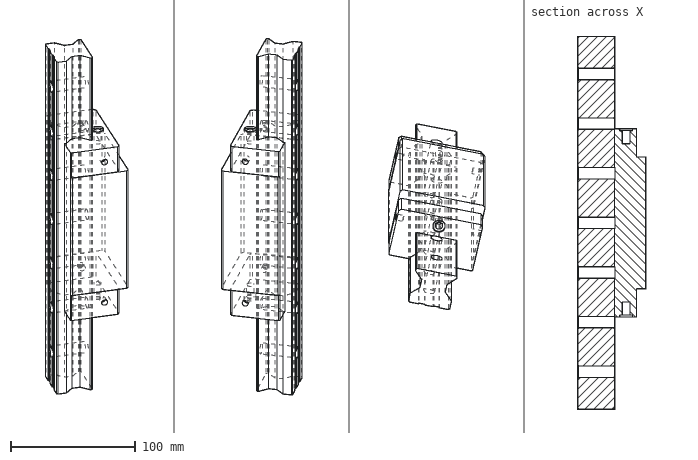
import cadquery as cq

rail_length = 300.0
rail_width = 34.0
rail_height = 30.0
rail_chamfer = 1.0
waist_width = 20.7
shoulder_height = 7.8
waist_length = 7.0
flank_width = (rail_width - waist_width) / 2
waist_bottom = shoulder_height + flank_width
waist_top = waist_bottom + waist_length
head_edge_height = waist_top + flank_width

groove_outer_x = 8.5
groove_inner_x = 4.0
land_edge_x = 3.3
groove_depth = 0.5

bolt_hole_diameter = 9.0
bolt_hole_pitch = 40.0
bolt_hole_count = 7

carriage_bottom = 6.3
block_width = 70.0
block_top = 55.0
block_length = 106.2
block_bottom_chamfer = 1.2
cap_width = 69.0
cap_top = block_top - 7.5
cap_bottom_chamfer = 1.0
carriage_length = 151.5
top_chamfer = 1.8

port_height = 39.0
port_mouth_diameter = 10.0
port_mouth_depth = 1.5
port_bore_diameter = 6.0
port_bore_depth = 12.0

side_hole_diameter = 4.8
side_hole_depth = 6.0
side_hole_height = 34.8
side_hole_from_end = 12.3


def rail_prism(right_half_underside):
    """Extrude the rail profile; the underside runs outwards from the centre on the +X side."""
    half = rail_width / 2
    right_half = right_half_underside + [
        (half - rail_chamfer, 0),
        (half, rail_chamfer),
        (half, shoulder_height),
        (waist_width / 2, waist_bottom),
        (waist_width / 2, waist_top),
        (half, head_edge_height),
        (half, rail_height - rail_chamfer),
        (half - rail_chamfer, rail_height),
    ]
    left_half = [(-x, y) for x, y in reversed(right_half)]
    outline = cq.Workplane("XY").polyline(right_half + left_half).close()
    return outline.extrude(rail_length / 2, both=True)


def bolt_holes():
    return (
        cq.Workplane("XZ")
        .rarray(3, bolt_hole_pitch, 1, bolt_hole_count)
        .circle(bolt_hole_diameter / 2)
        .extrude(-rail_height)
    )


def make_rail():
    grooved_underside = [
        (land_edge_x, 0),
        (groove_inner_x, groove_depth),
        (groove_outer_x, groove_depth),
        (groove_outer_x, 0),
    ]
    return rail_prism(grooved_underside).cut(bolt_holes())


def chamfered_bar(width, top, length, bottom_chamfer):
    """A bar along Z, from the carriage bottom up to the given top, with its long edges chamfered."""
    height = top - carriage_bottom
    return (
        cq.Workplane("XY")
        .center(0, carriage_bottom + height / 2)
        .rect(width, height)
        .extrude(length / 2, both=True)
        .edges("|Z and >Y")
        .chamfer(top_chamfer)
        .edges("|Z and <Y")
        .chamfer(bottom_chamfer)
    )


def lubrication_port(end):
    """The port cutter for the +Z end face (end = 1) or the -Z end face (end = -1)."""
    face = cq.Workplane("XY", origin=(0, port_height, end * carriage_length / 2))
    mouth = face.circle(port_mouth_diameter / 2).extrude(-end * port_mouth_depth)
    bore = face.circle(port_bore_diameter / 2).extrude(-end * port_bore_depth)
    return mouth.union(bore)


def side_holes(side):
    """The hole cutters for both caps on the +X side (side = 1) or the -X side (side = -1)."""
    hole_spacing = carriage_length - 2 * side_hole_from_end
    return (
        cq.Workplane("YZ", origin=(side * cap_width / 2, side_hole_height, 0))
        .rarray(3, hole_spacing, 1, 2)
        .circle(side_hole_diameter / 2)
        .extrude(-side * side_hole_depth)
    )


def make_carriage():
    block = chamfered_bar(block_width, block_top, block_length, block_bottom_chamfer)
    caps = chamfered_bar(cap_width, cap_top, carriage_length, cap_bottom_chamfer)
    rail_channel = rail_prism([])
    carriage = block.union(caps).cut(rail_channel)
    for direction in (1, -1):
        carriage = carriage.cut(lubrication_port(direction))
        carriage = carriage.cut(side_holes(direction))
    return carriage


rail = make_rail()
carriage = make_carriage()
result = cq.Compound.makeCompound([rail.solids().val(), carriage.solids().val()])